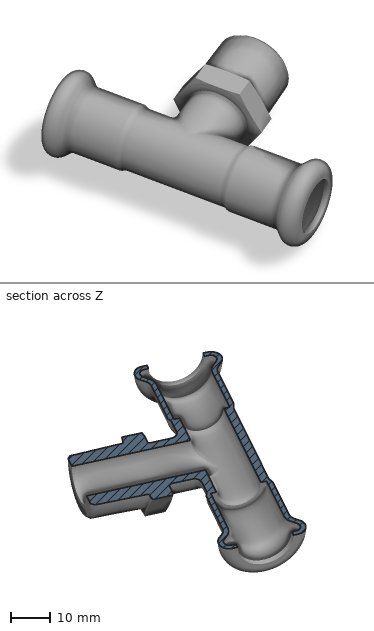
import cadquery as cq
import math

run_length = 74.0
tube_radius = 16.8 / 2
socket_radius = 18.0 / 2
bore_radius = 5.9
mouth_radius = 7.5
wall = socket_radius - mouth_radius

bead_outer_radius = 11.8
bead_round = 2.95
neck_round = 2.2
slope_angle = math.radians(45)
bead_mid_angle = math.radians(110)

shoulder_start = 20.9
shoulder_length = 2.15
socket_depth = 21.9

branch_end = 37.95
crotch_round = 1.85
join_tolerance = 0.001
hex_start = 16.6
hex_end = 22.65
hex_flats = 22.05
hex_chamfer_rise = 0.3
collar_round = 0.7
collar_flare = 0.3
thread_root_radius = 10.4
thread_tip_radius = 10.1
tip_chamfer_length = 0.95
tip_chamfer_depth = 0.8

half_run = run_length / 2


def arc_point(center, radius, angle):
    """Point on a circle in the axial/radial plane."""
    return (center[0] + radius * math.cos(angle), center[1] + radius * math.sin(angle))


def start_mouth_profile(inset):
    """Left bead, slope and neck outline, moved inward by the given wall inset."""
    ball_radius = bead_round - inset
    curve_radius = neck_round + inset
    bead_center = (-half_run + bead_round, bead_outer_radius - bead_round)
    slope_top = arc_point(bead_center, ball_radius, slope_angle)
    straight_radius = socket_radius - inset
    slope_foot_radius = straight_radius + curve_radius * (1 - math.cos(slope_angle))
    slope_foot_x = slope_top[0] + (slope_top[1] - slope_foot_radius) / math.tan(slope_angle)
    neck_end_x = slope_foot_x + curve_radius * math.sin(slope_angle)
    neck_center = (neck_end_x, straight_radius + curve_radius)
    neck_mid = arc_point(neck_center, curve_radius, -(math.pi + slope_angle) / 2)
    return (
        cq.Workplane("XY")
        .moveTo(-half_run + inset, 0)
        .lineTo(-half_run + inset, bead_center[1])
        .threePointArc(arc_point(bead_center, ball_radius, bead_mid_angle), slope_top)
        .lineTo(slope_foot_x, slope_foot_radius)
        .threePointArc(neck_mid, (neck_end_x, straight_radius))
    )


def make_half_run():
    """Left half of the run, turned about X."""
    shoulder_x = -half_run + shoulder_start
    shoulder_mid = (shoulder_x + shoulder_length / 2, (socket_radius + tube_radius) / 2)
    profile = (
        start_mouth_profile(0)
        .lineTo(shoulder_x, socket_radius)
        .tangentArcPoint(shoulder_mid, relative=False)
        .tangentArcPoint((shoulder_x + shoulder_length, tube_radius), relative=False)
        .lineTo(0, tube_radius)
        .lineTo(0, 0)
        .close()
    )
    return profile.revolve(360, (0, 0, 0), (1, 0, 0))


def make_socket_cavity():
    """Left socket: entry hole, seal groove inside the bead and straight tube seat."""
    stop_x = -half_run + socket_depth
    cavity = (
        start_mouth_profile(wall)
        .lineTo(stop_x, mouth_radius)
        .lineTo(stop_x, 0)
        .close()
        .revolve(360, (0, 0, 0), (1, 0, 0))
    )
    entry = cq.Workplane("YZ", origin=(-half_run, 0, 0)).circle(mouth_radius).extrude(socket_depth)
    return cavity.union(entry)


def turned_about_y(points):
    """Solid turned about the branch axis from (radius, y) points."""
    return cq.Workplane("XY").polyline(points).close().revolve(360, (0, 0, 0), (0, 1, 0))


def make_crotch_fillet():
    """Rolling-ball fillet in the +X corner between the equal run and branch tubes."""
    reach = tube_radius + crotch_round
    center_plane = cq.Plane(origin=(0, 0, 0), xDir=(1, 1, 0), normal=(1, -1, 0))
    long_axis = reach * math.sqrt(2)
    web = (
        cq.Workplane("XY")
        .polyline([(0, 0), (reach, tube_radius), (reach, reach), (tube_radius, reach)])
        .close()
        .extrude(reach, both=True)
    )
    under_ball = cq.Workplane(center_plane).ellipse(long_axis, reach).extrude(reach, both=True)
    ball_path = cq.Workplane(center_plane).ellipse(long_axis, reach)
    ball_sweep = (
        cq.Workplane(cq.Plane(origin=(reach, reach, 0), xDir=(1, 1, 0), normal=(0, 0, 1)))
        .circle(crotch_round)
        .sweep(ball_path)
    )
    return web.intersect(under_ball).cut(ball_sweep)


def make_wedge(reach_x, reach_y):
    """Tall wedge opening along +Y from the Z axis, with sides through (+-reach_x, reach_y)."""
    scale = branch_end / reach_y
    return (
        cq.Workplane("XY")
        .polyline([(0, 0), (reach_x * scale, branch_end), (-reach_x * scale, branch_end)])
        .close()
        .extrude(half_run, both=True)
    )


def make_body():
    """Run and branch, mitred along the fillet's tangent planes and joined by the fillets."""
    reach = tube_radius + crotch_round
    half = make_half_run()
    run = half.union(half.mirror("YZ")).cut(make_wedge(reach, tube_radius))
    branch = make_branch().intersect(make_wedge(tube_radius, reach))
    fillet = make_crotch_fillet()
    body = run
    for piece in (fillet, fillet.mirror("YZ"), branch):
        body = body.union(piece, tol=join_tolerance)
    return body


def make_hexagon():
    """Spanner hexagon with flats facing Z and chamfered corners on both faces."""
    corner_diameter = hex_flats / math.cos(math.pi / 6)
    length = hex_end - hex_start
    prism = (
        cq.Workplane(cq.Plane(origin=(0, hex_start, 0), xDir=(1, 0, 0), normal=(0, 1, 0)))
        .polygon(6, corner_diameter)
        .extrude(length)
    )
    flat_radius = hex_flats / 2
    corner_radius = corner_diameter / 2
    trim = turned_about_y([
        (0, hex_start),
        (flat_radius, hex_start),
        (corner_radius, hex_start + hex_chamfer_rise),
        (corner_radius, hex_end - hex_chamfer_rise),
        (flat_radius, hex_end),
        (0, hex_end),
    ])
    return prism.intersect(trim)


def make_branch():
    """Branch tube, flared collar, hexagon and tapered thread body."""
    tube = turned_about_y([
        (0, 0),
        (tube_radius, 0),
        (tube_radius, hex_start - collar_round),
        (tube_radius + collar_flare, hex_start),
        (0, hex_start),
    ])
    thread = turned_about_y([
        (0, hex_end),
        (thread_root_radius, hex_end),
        (thread_tip_radius, branch_end - tip_chamfer_length),
        (thread_tip_radius - tip_chamfer_depth, branch_end),
        (0, branch_end),
    ])
    return tube.union(make_hexagon()).union(thread)


def make_bores():
    """Through bore of the run with a grooved socket at each end, and the branch bore."""
    bores = cq.Workplane("YZ").circle(bore_radius).extrude(half_run, both=True)
    socket = make_socket_cavity()
    bores = bores.union(socket).union(socket.mirror("YZ"))
    branch_bore = cq.Workplane("XZ").circle(bore_radius).extrude(-branch_end)
    return bores.union(branch_bore)


result = make_body().cut(make_bores())